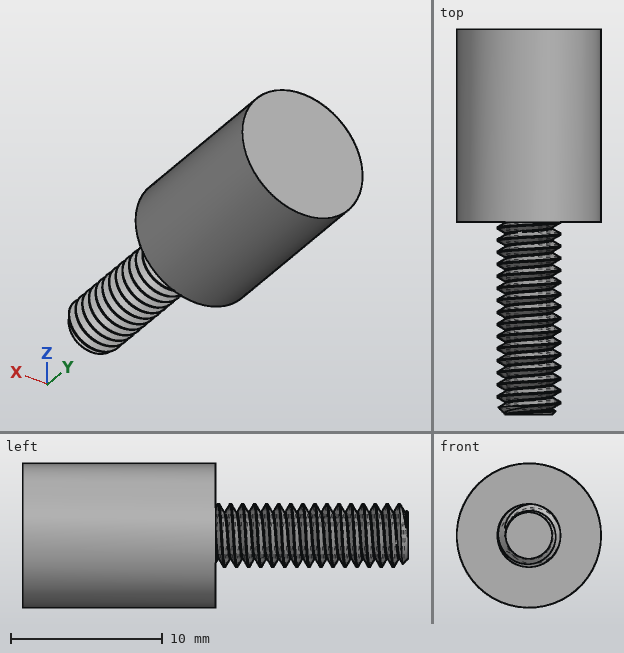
import cadquery as cq
import math

INCH = 25.4

body_diameter = 3 / 8 * INCH
body_length = INCH / 2

stud_length = INCH / 2
major_diameter = 0.164 * INCH
threads_per_inch = 32
pitch = INCH / threads_per_inch
tip_diameter = 3.05

thread_angle = 60
flank_slope = math.tan(math.radians(thread_angle / 2))
root_width = pitch / 8
crest_width = pitch / 8
groove_depth = (pitch - root_width - crest_width) / (2 * flank_slope)

major_radius = major_diameter / 2
root_radius = major_radius - groove_depth
tip_chamfer = (major_diameter - tip_diameter) / 2

radial_overcut = 0.05
overrun = 1.5 * pitch


def make_body():
    """Plain cylinder from the shoulder at Y = 0 toward +Y."""
    return cq.Workplane("XZ").circle(body_diameter / 2).extrude(-body_length)


def make_groove():
    """Helical groove cutter around +Z, with its root on the +X side half a pitch off the shoulder."""
    outer_radius = major_radius + radial_overcut
    root_half_width = root_width / 2
    mouth_half_width = root_half_width + (outer_radius - root_radius) * flank_slope
    helix = cq.Wire.makeHelix(pitch, stud_length + 2 * overrun, root_radius)
    profile = [
        (root_radius, -root_half_width),
        (outer_radius, -mouth_half_width),
        (outer_radius, mouth_half_width),
        (root_radius, root_half_width),
    ]
    groove = cq.Workplane("XZ").polyline(profile).close().sweep(cq.Workplane(helix), isFrenet=True)
    return groove.translate((0, 0, -overrun))


def make_stud():
    """Threaded stud with a chamfered tip, from the shoulder toward -Y."""
    blank = cq.Workplane("XY").circle(major_radius).extrude(stud_length)
    blank = blank.faces(">Z").chamfer(tip_chamfer)
    blank = blank.rotate((0, 0, 0), (0, 0, 1), 180)
    pieces = blank.split(make_groove()).solids().vals()
    stud = cq.Workplane(max(pieces, key=lambda piece: piece.Volume()))
    return stud.rotate((0, 0, 0), (1, 0, 0), 90)


result = make_body().union(make_stud())